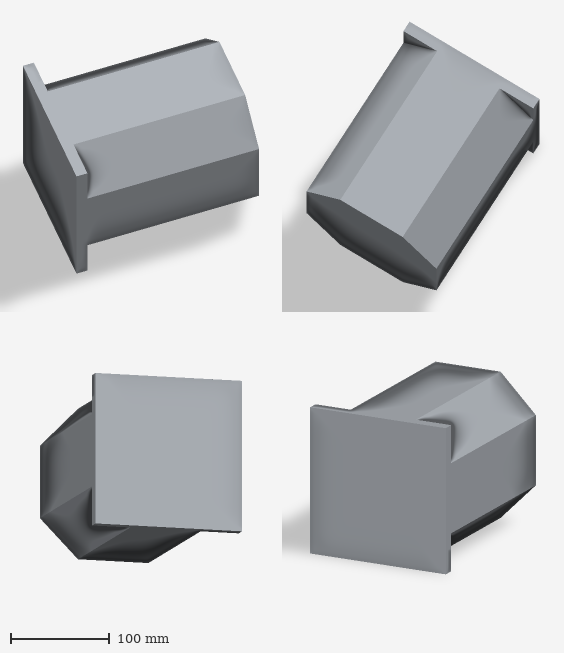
import cadquery as cq

width = 155.0
length = 197.5
plate_thickness = 11.8
corner_cut = 40.3

plate = cq.Workplane("XY").box(width, plate_thickness, width, centered=(True, False, True))

body_length = length - plate_thickness
body = (
    cq.Workplane("XY")
    .box(width, body_length, width, centered=(True, False, True))
    .edges("|Y")
    .chamfer(corner_cut)
    .translate((0, plate_thickness, 0))
)

result = plate.union(body)